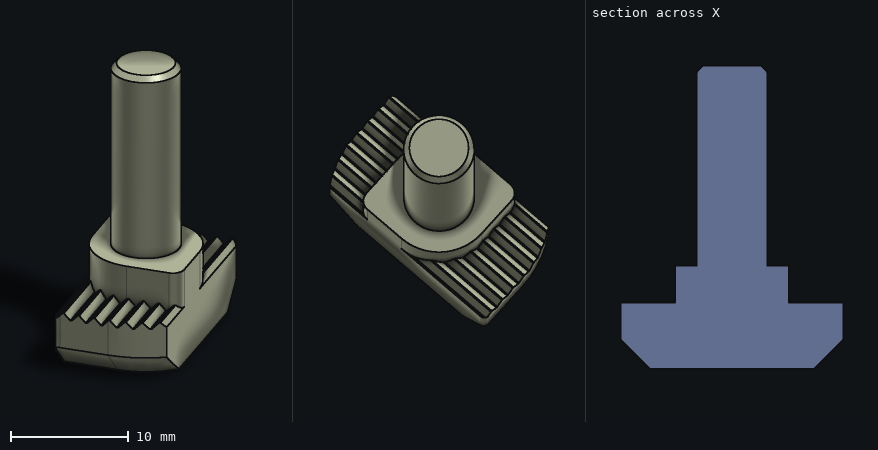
import cadquery as cq
import math

width = 9.7
length = 19.0
total_height = 25.8

bevel = 2.5
foot_height = 5.78
foot_corner_radius = 0.5

tooth_pitch = 1.4
tooth_flat = 0.1
tooth_depth = tooth_pitch / 2 - tooth_flat
crest_offset = 0.15

neck_top = 8.8
neck_corner_radius = 1.0
stud_diameter = 6.0
stud_chamfer = 0.5

half_width = width / 2
half_length = length / 2


def square_quadrant(side):
    """Block of the foot's height in the quadrant where X and Y both have the given sign."""
    center = (side * half_width / 2, side * half_length / 2)
    return cq.Workplane("XY").center(*center).rect(half_width, half_length).extrude(foot_height)


def make_foot():
    """Beveled bar with one rounded end corner and one sharp end corner at each end."""
    bar = (
        cq.Workplane("YZ")
        .moveTo(-half_length, foot_height)
        .lineTo(-half_length, bevel)
        .lineTo(-half_length + bevel, 0)
        .lineTo(half_length - bevel, 0)
        .lineTo(half_length, bevel)
        .lineTo(half_length, foot_height)
        .close()
        .extrude(half_width, both=True)
    )
    clearance = (
        cq.Workplane("XY")
        .circle(half_length)
        .extrude(foot_height)
        .faces("<Z")
        .chamfer(bevel)
    )
    for side, corner in ((-1, "<X and <Y"), (1, ">X and >Y")):
        block = square_quadrant(side)
        rounded_block = block.edges("|Z").edges(corner).fillet(foot_corner_radius)
        clearance = clearance.cut(block).union(rounded_block)
    return bar.intersect(clearance)


def cut_serrations(foot):
    """Cut flat-bottomed V grooves along Y, leaving a narrow flat on each crest."""
    valley_height = foot_height - tooth_depth
    half_mouth = (tooth_pitch - tooth_flat) / 2
    half_floor = tooth_flat / 2
    half_count = int(half_width / tooth_pitch) + 1
    for index in range(-half_count, half_count + 1):
        valley_x = crest_offset + (index + 0.5) * tooth_pitch
        groove = (
            cq.Workplane("XZ")
            .moveTo(valley_x - half_mouth, foot_height)
            .lineTo(valley_x - half_floor, valley_height)
            .lineTo(valley_x + half_floor, valley_height)
            .lineTo(valley_x + half_mouth, foot_height)
            .close()
            .extrude(half_length, both=True)
        )
        foot = foot.cut(groove)
    return foot


def make_neck():
    """Square neck with two opposite corners rounded to half the width."""
    arc_middle = half_width * math.sqrt(0.5)
    return (
        cq.Workplane("XY", origin=(0, 0, bevel))
        .moveTo(-half_width, half_width)
        .lineTo(0, half_width)
        .threePointArc((arc_middle, arc_middle), (half_width, 0))
        .lineTo(half_width, -half_width)
        .lineTo(0, -half_width)
        .threePointArc((-arc_middle, -arc_middle), (-half_width, 0))
        .close()
        .extrude(neck_top - bevel)
        .edges("|Z")
        .edges("(<X and >Y) or (>X and <Y)")
        .fillet(neck_corner_radius)
    )


def make_stud():
    """Round stud with a chamfered tip."""
    return (
        cq.Workplane("XY")
        .circle(stud_diameter / 2)
        .extrude(total_height)
        .faces(">Z")
        .chamfer(stud_chamfer)
    )


result = cut_serrations(make_foot()).union(make_neck()).union(make_stud())